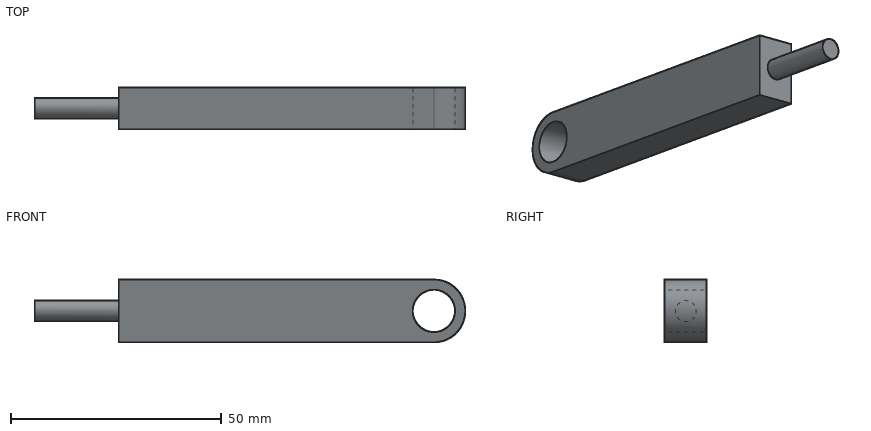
import cadquery as cq

bar_height = 15.0
bar_thickness = 10.0
shoulder_to_eye = 75.0
eye_diameter = 10.0
pin_diameter = 5.0
pin_length = 20.0

end_radius = bar_height / 2


def make_bar():
    """Flat bar with one square end and one rounded end; the eye centre is the origin."""
    return (
        cq.Workplane("XZ", origin=(0, bar_thickness / 2, 0))
        .moveTo(-shoulder_to_eye, -end_radius)
        .lineTo(0, -end_radius)
        .threePointArc((end_radius, 0), (0, end_radius))
        .lineTo(-shoulder_to_eye, end_radius)
        .close()
        .extrude(bar_thickness)
    )


def make_eye():
    """Cylinder that cuts the eye through the full thickness of the bar."""
    return (
        cq.Workplane("XZ", origin=(0, bar_thickness / 2, 0))
        .circle(eye_diameter / 2)
        .extrude(bar_thickness)
    )


def make_pin():
    """Round pin standing out along -X from the centre of the square end."""
    return (
        cq.Workplane("YZ", origin=(-shoulder_to_eye, 0, 0))
        .circle(pin_diameter / 2)
        .extrude(-pin_length)
    )


result = make_bar().cut(make_eye()).union(make_pin())